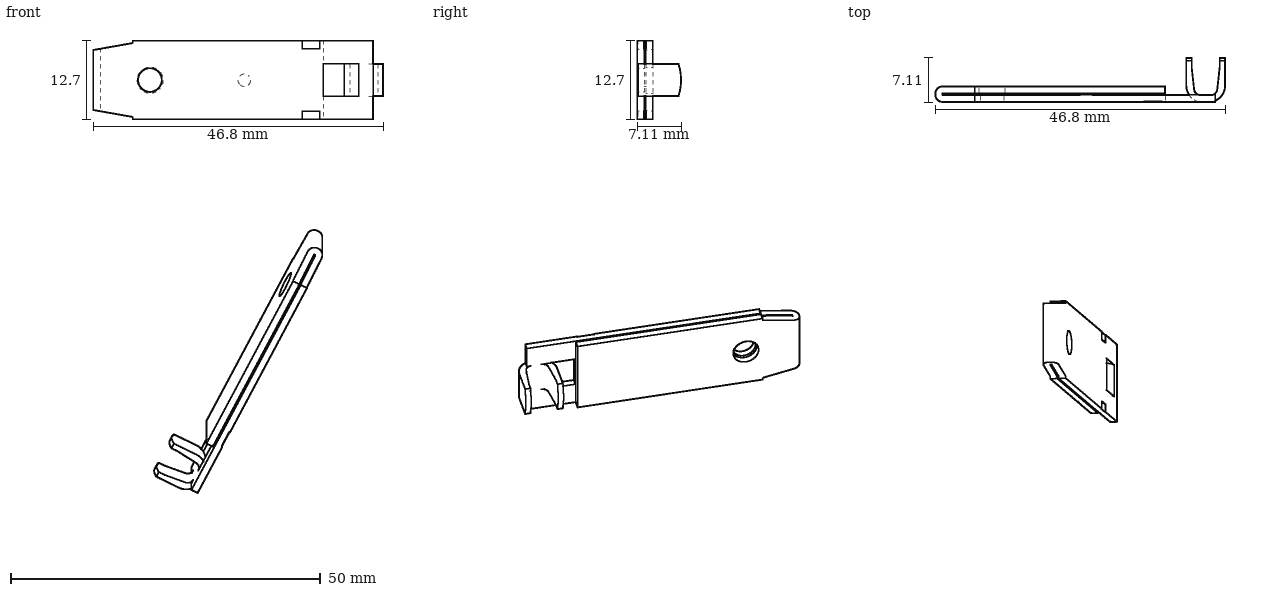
import cadquery as cq
import math

strip_width = 12.7
folded_height = 2.54
sheet_thickness = 1.14
layer_gap = folded_height - 2 * sheet_thickness
long_layer_length = 45.2
short_layer_length = 37.1
fold_radius = 1.2

nose_length = 6.35
nose_root_half_width = 5.98
nose_taper = math.radians(10)
nose_corner_radius = 0.15

hole_diameter = 3.8
short_layer_hole_diameter = 4.2
hole_x = 9.15

pad_diameter = 2.0
pad_x = 24.35

recess_start_x = 33.75
recess_length = 2.8
recess_width = 1.27
recess_depth = 0.1

clip_end_x = 46.8
clip_span = 6.28
clip_width = 5.2
clip_height = 7.11
clip_outer_radius = 2.6
clip_inner_radius = 1.0
prong_tip_thickness = 0.9
prong_taper_top = 5.57
prong_taper = math.radians(6.3)
prong_tip_rise = 0.42
window_start_x = 37.15
window_end_x = 42.9


def prism(profile, width):
    """Extrude an XY profile across Z, centred on the strip."""
    return profile.extrude(width / 2, both=True)


def block(x_start, x_end, y_start, y_end, width):
    """Box between X and Y limits, centred across the strip."""
    size = (x_end - x_start, y_end - y_start, width)
    return cq.Workplane("XY").box(*size, centered=(False, False, True)).translate((x_start, y_start, 0))


def cylinder_along_y(x, diameter, y_start, y_end):
    sketch = cq.Workplane("XZ", origin=(x, y_start, 0)).circle(diameter / 2)
    return sketch.extrude(y_start - y_end)


def folded_strip():
    long_layer = block(0, long_layer_length, 0, sheet_thickness, strip_width)
    short_layer = block(0, short_layer_length, folded_height - sheet_thickness, folded_height, strip_width)
    bend = block(0, sheet_thickness, 0, folded_height, strip_width)
    strip = long_layer.union(short_layer).union(bend)
    return strip.edges("|Z and <X").fillet(fold_radius)


def nose_outline():
    """Strip outline in XZ, with the tapered nose and its stepped shoulders."""
    tip_half_width = nose_root_half_width - nose_length * math.tan(nose_taper)
    half_width = strip_width / 2
    outline = (
        cq.Workplane("XZ")
        .polyline([
            (0, -tip_half_width),
            (nose_length, -nose_root_half_width),
            (nose_length, -half_width),
            (long_layer_length, -half_width),
            (long_layer_length, half_width),
            (nose_length, half_width),
            (nose_length, nose_root_half_width),
            (0, tip_half_width),
        ])
        .close()
        .extrude(-folded_height)
    )
    corner_depth = 0.01
    corners = cq.selectors.BoxSelector(
        (nose_length - corner_depth, 0, -nose_root_half_width - corner_depth),
        (nose_length + corner_depth, folded_height, nose_root_half_width + corner_depth),
    )
    return outline.edges("|Y").edges(corners).fillet(nose_corner_radius)


def clip():
    """U channel with tapering prongs and crowned tips."""
    left = clip_end_x - clip_span
    center = clip_end_x - clip_span / 2
    outer = prism(
        cq.Workplane("XY").moveTo(center, clip_height / 2).rect(clip_span, clip_height),
        clip_width,
    )
    outer = outer.edges("|Z and <Y").fillet(clip_outer_radius)

    mouth_half = clip_span / 2 - prong_tip_thickness
    floor_half = mouth_half - (prong_taper_top - sheet_thickness) * math.tan(prong_taper)
    inner = prism(
        cq.Workplane("XY").polyline([
            (center - floor_half, sheet_thickness),
            (center + floor_half, sheet_thickness),
            (center + mouth_half, prong_taper_top),
            (center + mouth_half, clip_height),
            (center - mouth_half, clip_height),
            (center - mouth_half, prong_taper_top),
        ]).close(),
        clip_width,
    )
    inner = inner.edges("|Z and <Y").fillet(clip_inner_radius)

    tip_edge = clip_height - prong_tip_rise
    crown = (
        cq.Workplane("YZ", origin=(left, 0, 0))
        .moveTo(0, -clip_width / 2)
        .lineTo(tip_edge, -clip_width / 2)
        .threePointArc((clip_height, 0), (tip_edge, clip_width / 2))
        .lineTo(0, clip_width / 2)
        .close()
        .extrude(clip_span)
    )
    return outer.cut(inner).intersect(crown)


def edge_recess(side):
    recess = block(recess_start_x, recess_start_x + recess_length, 0, recess_depth, recess_width)
    return recess.translate((0, 0, side * (strip_width - recess_width) / 2))


result = folded_strip().intersect(nose_outline())
result = result.cut(block(window_start_x, window_end_x, 0, sheet_thickness, clip_width))
result = result.union(clip())
result = result.union(cylinder_along_y(pad_x, pad_diameter, sheet_thickness, sheet_thickness + layer_gap))
result = result.cut(cylinder_along_y(hole_x, hole_diameter, 0, sheet_thickness))
result = result.cut(cylinder_along_y(hole_x, short_layer_hole_diameter, sheet_thickness, folded_height))
for side in (-1, 1):
    result = result.cut(edge_recess(side))